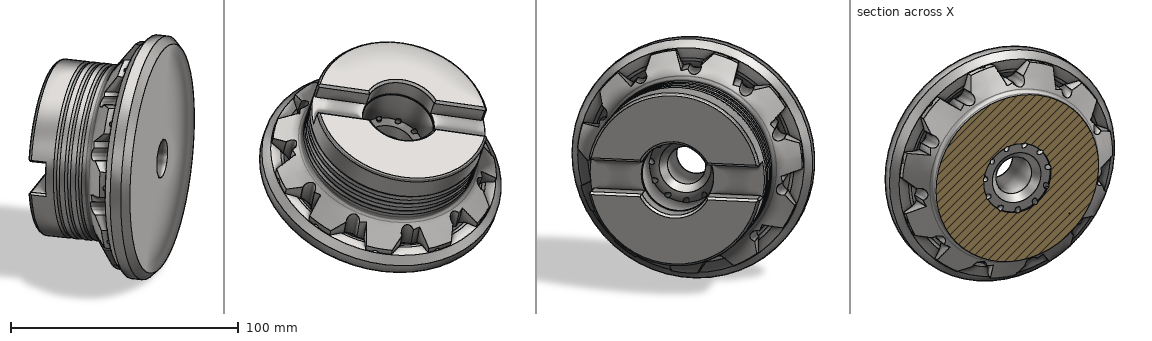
import cadquery as cq
import math


length = 50.0
shank_radius = 38.9
lead_chamfer = 0.6
lead_taper_end = 1.4
lead_taper_drop = 0.4

groove_count = 3
groove_start = 11.7
groove_pitch = 5.0
groove_width = 2.7
groove_depth = 0.8
groove_ramp = 1.2

neck_start = 26.3
cone_start = 28.4
cone_start_radius = 40.3
cone_end = 35.9
tooth_radius = 50.2

disc_start = 38.7
disc_radius = 53.8
disc_start_radius = 50.5
disc_chamfer = disc_radius - disc_start_radius

slot_width = 14.4
slot_depth = 8.1
slot_chamfer = 1.1

bore_chamfer = 1.1
bore_entry_radius = 16.1
bore_radius = 15.9
bore_step = 8.9
bore_step_length = 0.5
bore_depth = 25.8
seat_radius = 11.6
hole_radius = 8.5

tooth_count = 11
tooth_pitch = 360 / tooth_count
gullet_tilt = 6.0
gullet_start = 21.5
gullet_pivot = 30.6
gullet_top = 59.1
gullet_corner = 2.7
gullet_corner_height = 42.1
gullet_near_wall_angle = 20.3
gullet_far_edge = 6.0
gullet_far_edge_height = 44.6
gullet_far_wall_angle = 50.0
relief_radius = 2.9
relief_offset = 3.1
relief_height = 43.9

recess_radius = 46.0
recess_step_radius = 44.5
recess_end_radius = 41.4
recess_step_depth = 0.5
recess_depth = 3.2

tip_hole_radius = 1.1
tip_hole_depth = 5.4
tip_hole_angle = -12.3

coolant_radius = 1.2
coolant_length = 8.6
coolant_angle = -18.0
coolant_start_radius = 15.4
coolant_tilt = 45.0
coolant_skew = 30.0


def revolve_about_x(profile):
    """Close an outline that starts and ends on the X axis and turn it about that axis."""
    return profile.close().revolve(360, (0, 0, 0), (1, 0, 0))


def around_axis(shape, first_angle=0.0):
    """Copies of a shape, one per tooth, turned about the X axis."""
    copies = cq.Workplane("XY")
    for index in range(tooth_count):
        angle = first_angle + index * tooth_pitch
        copies = copies.add(shape.rotate((0, 0, 0), (1, 0, 0), angle))
    return copies.combine()


def make_body():
    """Shank with its grooves, flaring through a concave neck into the cone of the teeth."""
    profile = (
        cq.Workplane("XY")
        .moveTo(0, 0)
        .lineTo(0, shank_radius - lead_taper_drop - lead_chamfer)
        .lineTo(lead_chamfer, shank_radius - lead_taper_drop)
        .lineTo(lead_taper_end, shank_radius)
    )
    for index in range(groove_count):
        start = groove_start + index * groove_pitch
        bottom = (start + groove_ramp, shank_radius - groove_depth)
        profile = profile.lineTo(start, shank_radius)
        profile = profile.lineTo(*bottom)
        profile = profile.lineTo(start + groove_width, shank_radius)
    profile = (
        profile.lineTo(neck_start, shank_radius)
        .tangentArcPoint((cone_start, cone_start_radius), relative=False)
        .lineTo(cone_end, tooth_radius)
        .lineTo(disc_start, tooth_radius)
        .lineTo(disc_start, 0)
    )
    return revolve_about_x(profile)


def make_disc():
    """Rim disc with both outer edges chamfered."""
    profile = (
        cq.Workplane("XY")
        .moveTo(disc_start, 0)
        .lineTo(disc_start, disc_start_radius)
        .lineTo(disc_start + disc_chamfer, disc_radius)
        .lineTo(length - disc_chamfer, disc_radius)
        .lineTo(length, disc_radius - disc_chamfer)
        .lineTo(length, 0)
    )
    return revolve_about_x(profile)


def make_gullet():
    """One gullet at the top of the part, leaning sideways along its length."""
    near_rise = gullet_top - gullet_corner_height
    near_top = gullet_corner + near_rise * math.tan(math.radians(gullet_near_wall_angle))
    far_rise = gullet_top - gullet_far_edge_height
    far_top = gullet_far_edge + far_rise * math.tan(math.radians(gullet_far_wall_angle))
    run = length - gullet_start
    plane = cq.Workplane("YZ", origin=(gullet_start, 0, 0))
    outline = [
        (gullet_corner, gullet_corner_height),
        (near_top, gullet_top),
        (-far_top, gullet_top),
        (-gullet_far_edge, gullet_far_edge_height),
        (-relief_offset, relief_height),
    ]
    wedge = plane.polyline(outline).close().extrude(run)
    relief = plane.center(-relief_offset, relief_height).circle(relief_radius).extrude(run)
    return wedge.union(relief).rotate((gullet_pivot, 0, 0), (gullet_pivot, 0, 1), gullet_tilt)


def make_gullet_limit():
    """Room the gullets may take up: all of the cone, and a stepped funnel inside the disc."""
    profile = (
        cq.Workplane("XY")
        .moveTo(0, 0)
        .lineTo(0, disc_radius)
        .lineTo(disc_start, disc_radius)
        .lineTo(disc_start, recess_radius)
        .lineTo(disc_start + recess_step_depth, recess_step_radius)
        .lineTo(disc_start + recess_depth, recess_end_radius)
        .lineTo(disc_start + recess_depth, 0)
    )
    return revolve_about_x(profile)


def make_tip_hole():
    """Radial hole in the tooth top, half covered by the disc."""
    floor = (disc_start, 0, tooth_radius - tip_hole_depth)
    return cq.Workplane("XY", origin=floor).circle(tip_hole_radius).extrude(disc_radius - floor[2])


def make_slot():
    """Slot along Y with chamfered mouth and chamfered wall ends at the shank surface."""
    half = slot_width / 2
    section = [
        (slot_depth, half),
        (slot_chamfer, half),
        (0, half + slot_chamfer),
        (0, -half - slot_chamfer),
        (slot_chamfer, -half),
        (slot_depth, -half),
    ]
    slot = cq.Workplane("XZ").polyline(section).close().extrude(disc_radius, both=True)
    flare_size = 2 * slot_chamfer
    wall_end = math.sqrt(shank_radius**2 - half**2)
    flare_start = wall_end - slot_chamfer
    flare = [
        (flare_start, half),
        (flare_start + flare_size, half + flare_size),
        (flare_start + flare_size, -half - flare_size),
        (flare_start, -half),
    ]
    end = cq.Workplane("YZ").polyline(flare).close().extrude(slot_depth)
    return slot.union(end).union(end.mirror("XZ"))


def make_bore():
    """Stepped bore for a screw head, with a conical seat and a through hole."""
    seat_end = bore_depth + seat_radius - hole_radius
    profile = (
        cq.Workplane("XY")
        .moveTo(0, 0)
        .lineTo(0, bore_entry_radius + bore_chamfer)
        .lineTo(bore_chamfer, bore_entry_radius)
        .lineTo(bore_step, bore_entry_radius)
        .lineTo(bore_step + bore_step_length, bore_radius)
        .lineTo(bore_depth, bore_radius)
        .lineTo(bore_depth, seat_radius)
        .lineTo(seat_end, hole_radius)
        .lineTo(length, hole_radius)
        .lineTo(length, 0)
    )
    return revolve_about_x(profile)


def make_coolant_hole():
    """Blind hole running outward and sideways from the corner of the bore floor."""
    tilt = math.radians(coolant_tilt)
    skew = math.radians(coolant_skew)
    direction = cq.Vector(math.cos(tilt), -math.sin(tilt) * math.sin(skew), math.sin(tilt) * math.cos(skew))
    mouth = cq.Vector(bore_depth, 0, coolant_start_radius)
    start = mouth - direction * (2 * coolant_radius)
    return cq.Workplane(cq.Solid.makeCylinder(coolant_radius, coolant_length, start, direction))


body = make_body().cut(around_axis(make_tip_hole(), tip_hole_angle))
result = body.union(make_disc())
result = result.cut(around_axis(make_gullet()).intersect(make_gullet_limit()))
result = result.cut(make_slot()).cut(make_bore())
result = result.cut(around_axis(make_coolant_hole(), coolant_angle))